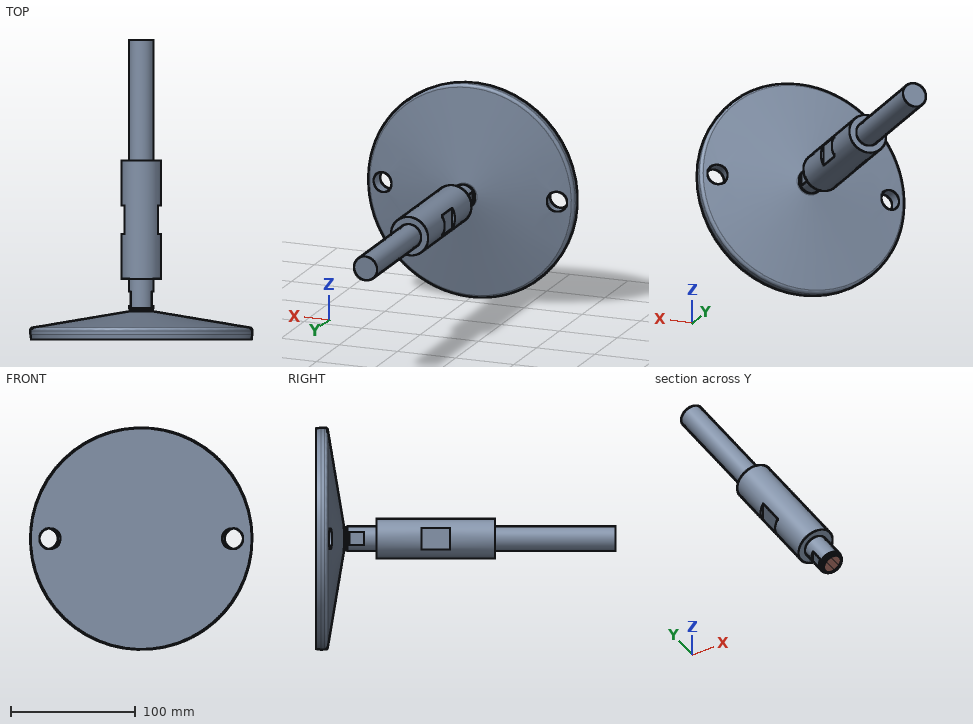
import cadquery as cq
import math


both_sides = (-1, 1)

foot_diameter = 177.98
foot_radius = foot_diameter / 2
rim_taper = 0.6
underside_radius = foot_radius - rim_taper
taper_height = 4.2
cone_angle = 9.5
cone_top_radius = 10.5
cone_top_height = 22.5
shoulder_radius = 2.8

hole_diameter = 16.5
hole_circle_radius = 75.0

stem_diameter = 20.0
stem_start = 25.3
overall_length = 240.0
stem_flat_width = 17.0
stem_flat_start = 27.0
stem_flat_end = 38.4

neck_radius = 8.2
bead_radius = 0.7
bead_center_radius = 8.7
bead_center_height = 23.6

sleeve_diameter = 32.0
sleeve_start = 48.5
sleeve_length = 95.0
sleeve_flat_width = 27.0
sleeve_flat_start = 84.7
sleeve_flat_end = 107.2


def rod(diameter, start, end):
    """Round bar along the Y axis between two heights."""
    plane = cq.Workplane("XZ", origin=(0, start, 0))
    return plane.circle(diameter / 2).extrude(start - end)


def wrench_flats(diameter, width, start, end):
    """Pair of cutters leaving flats of the given width across X on a bar."""
    depth = (diameter - width) / 2
    cutters = cq.Workplane("XY")
    for side in both_sides:
        cutter = cq.Workplane("XY").box(depth, end - start, diameter)
        cutters = cutters.add(cutter.translate((side * (width + depth) / 2, (start + end) / 2, 0)))
    return cutters.combine()


def cone_height(radius):
    """Height of the conical upper face at a distance from the axis."""
    return cone_top_height - (radius - cone_top_radius) * math.tan(math.radians(cone_angle))


def make_foot():
    """Conical plate with a tapered rim, a rounded shoulder and two tilted through holes."""
    profile = (
        cq.Workplane("XY")
        .moveTo(0, 0)
        .lineTo(underside_radius, 0)
        .lineTo(foot_radius, taper_height)
        .lineTo(foot_radius, cone_height(foot_radius))
        .lineTo(cone_top_radius, cone_top_height)
        .lineTo(0, cone_top_height)
        .close()
    )
    foot = profile.revolve(360, (0, 0, 0), (0, 1, 0))
    shoulder = cq.selectors.NearestToPointSelector((0, cone_height(foot_radius), 0))
    foot = foot.edges(shoulder).fillet(shoulder_radius)

    tilt = math.radians(cone_angle)
    drill_reach = cone_top_height
    for side in both_sides:
        axis = cq.Vector(side * math.sin(tilt), math.cos(tilt), 0)
        center = cq.Vector(side * hole_circle_radius, cone_height(hole_circle_radius), 0)
        start = center - axis * drill_reach
        drill = cq.Solid.makeCylinder(hole_diameter / 2, 2 * drill_reach, start, axis)
        foot = foot.cut(cq.Workplane(obj=drill))
    return foot


def make_stem():
    """Rod with wrench flats, standing on the foot by a beaded neck."""
    stem = rod(stem_diameter, stem_start, overall_length)
    stem = stem.cut(wrench_flats(stem_diameter, stem_flat_width, stem_flat_start, stem_flat_end))
    neck = rod(2 * neck_radius, cone_top_height, stem_start)
    bead = (
        cq.Workplane("XY")
        .center(bead_center_radius, bead_center_height)
        .circle(bead_radius)
        .revolve(360, (-bead_center_radius, 0, 0), (-bead_center_radius, 1, 0))
    )
    return stem.union(neck).union(bead)


def make_sleeve():
    """Tube around the stem with its own wrench flats."""
    sleeve_end = sleeve_start + sleeve_length
    sleeve = rod(sleeve_diameter, sleeve_start, sleeve_end)
    sleeve = sleeve.cut(rod(stem_diameter, sleeve_start, sleeve_end))
    return sleeve.cut(wrench_flats(sleeve_diameter, sleeve_flat_width, sleeve_flat_start, sleeve_flat_end))


foot = make_foot()
stem = make_stem()
sleeve = make_sleeve()

result = cq.Compound.makeCompound([foot.val(), stem.val(), sleeve.val()])